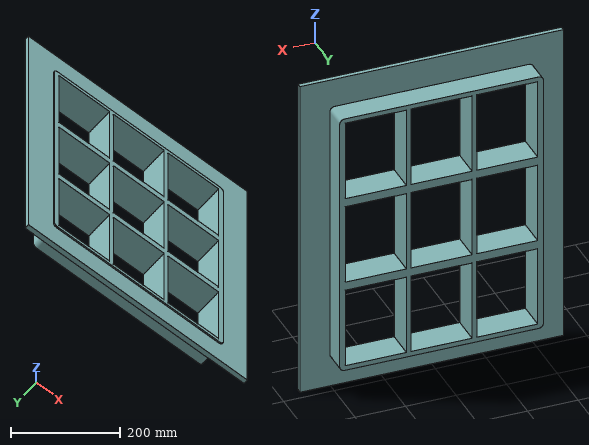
import cadquery as cq

plate_width = 521.5
plate_height = 658.5
plate_thickness = 10.0

body_width = 403.0
body_height = 541.0
body_depth = 60.0
corner_radius = 10.0
front_step = 2.5

columns = 3
rows = 3
window_width = 120.5
window_height = 162.0
column_pitch = 130.0
row_pitch = 180.0


def upright_block(width, depth, height, front_y):
    """Block centred on X and Z, running from front_y toward +Y."""
    return cq.Workplane("XY").box(width, depth, height).translate((0, front_y + depth / 2, 0))


body = upright_block(body_width, body_depth, body_height, 0).edges("|Y").fillet(corner_radius)
plate = upright_block(plate_width, plate_thickness, plate_height, front_step)

windows = (
    cq.Workplane("XZ")
    .rarray(column_pitch, row_pitch, columns, rows)
    .rect(window_width, window_height)
    .extrude(-body_depth)
)

result = plate.union(body).cut(windows)